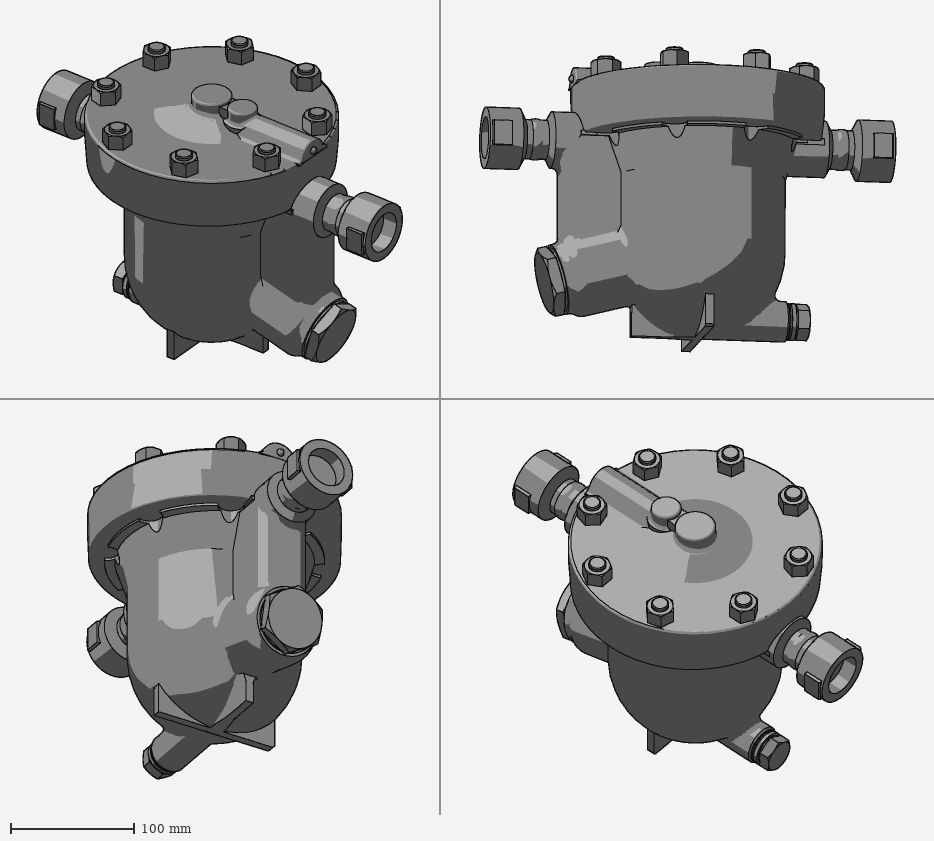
import cadquery as cq
import math

BODY_R = 71.0
DOME_CENTER_Z = 71.5
CONE_BOTTOM_Z = 130.5
CONE_TOP_R = 81.0

COVER_R = 103.0
COVER_TOP_Z = 207.0
COVER_JOINT_Z = 186.6
COVER_ROUND = 2.0
FLANGE_BOTTOM_Z = 162.7
FLANGE_BOTTOM_RX = 100.2
FLANGE_ROUND = 1.6
SEAT_R = 89.4
SEAT_BOTTOM_Z = 160.5

STRAIGHT_DOWN = 1.5 * math.pi
HEX_CORNER_ANGLE = 30.0
HEX_BEVEL_ANGLE = 30.0

BOLT_COUNT = 8
BOLT_CIRCLE_R = 88.5
BOLT_R = 7.0
BOLT_CHAMFER = 0.9
BOLT_TOP_Z = 223.2
NUT_FLATS = 21.0
NUT_TOP_Z = 220.0
NUT_TWIST = -7.5
BOLT_ANGLES = [360 / BOLT_COUNT * (i + 0.5) for i in range(BOLT_COUNT)]
SPOTFACE_R = 10.5
SPOTFACE_BOTTOM_Z = 145.0

HUB_CONE_R = 46.7
HUB_STEP_Z = 213.5
STUB_TOP_Z = 225.6
HUB_STUB_R = 16.5
HUB_FLARE_R = 21.0
VENT_X = 31.4
VENT_R = 12.2
VENT_FLARE_R = 15.7
VENT_FILLET = 2.5
STUB_ROUND = 1.6
BRIDGE_WIDTH = 17.0
BRIDGE_TOP_Z = 222.8

DUCT_R = 15.0
DUCT_AXIS_Z = 205.2
DUCT_FILLET = 5.0
DUCT_END_X = COVER_R
DUCT_END_ROUND = 1.5
PIP_R = 3.2
PIP_Z = 211.0

PIPE_Z = 160.0
INLET_X = -158.8
OUTLET_X = 175.2
PORT_LENGTH = 50.3
SOCKET_R = 25.0
SOCKET_LENGTH = 27.5
SOCKET_TAPER = 4.8
SOCKET_BORE_R = 16.9
SOCKET_BORE_DEPTH = 13.0
NECK_R = 16.0
BEAD_R = 16.9
BEAD_START = 37.0
BEAD_END = 45.2
PIPE_BOSS_R = 23.0
PIPE_BOSS_TAPER = 4.0
PIPE_BOSS_FILLET = 1.5
PAD_ACROSS = 52.0
PAD_HEIGHT = 20.0
PAD_START = 2.0
PAD_LENGTH = 16.0
PAD_CHAMFER = 1.2

SHELF_REACH = FLANGE_BOTTOM_RX
INLET_SHELF_BOTTOM_Z = 159.2
INLET_SHELF_WIDTH = 2 * PIPE_BOSS_R
OUTLET_SHELF_WIDTH = 50.0

RISER_END_X = 113.9
RISER_WIDTH = 2 * PIPE_BOSS_R
RISER_CORNER_R = 13.2
RISER_FOOT_Z = 55.0
RISER_FILLET = 6.0

PLUG_TILT = 15.0
PLUG_SEAT_X = 115.3
PLUG_SEAT_Z = 44.8
PLUG_BOSS_R = 33.8
PLUG_RIM_R = 29.0
PLUG_RIM_LENGTH = 6.0
PLUG_SHOULDER_LENGTH = 9.2
PLUG_ROOT = 70.0
PLUG_GROOVE_R = 26.5
PLUG_GROOVE_WIDTH = 2.0
PLUG_HEX_FLATS = 50.0
PLUG_HEX_LENGTH = 9.6
PLUG_FILLET = 8.0

DRAIN_R = 16.5
DRAIN_BOSS_END_X = -71.7
DRAIN_RIM_R = 15.0
DRAIN_RIM_END_X = -79.2
DRAIN_BEVEL = 1.5
DRAIN_SEAL_R = 14.6
DRAIN_SEAL_X = -74.2
DRAIN_SEAL_WIDTH = 1.4
DRAIN_GROOVE_R = 13.0
DRAIN_HEX_START_X = -80.8
DRAIN_HEX_END_X = -90.6
DRAIN_HEX_CORNERS = 30.0
DRAIN_FILLET = 5.0

JOINT_CLEARANCE = 0.1

FOOT_THICKNESS = 7.0
FOOT_REACH = 55.0
FOOT_TOP_Z = 35.0
FOOT_CHAMFER = 2.0
FOOT_FILLET = 7.5


def gather(shapes):
    """Hold several separate shapes so that they can be joined or cut in one step."""
    group = cq.Workplane("XY")
    for shape in shapes:
        group = group.add(shape)
    return group


def blend(shape, radius, low_corner, high_corner):
    """Fillet the edges whose centres lie in the box between two corners."""
    return shape.edges(cq.selectors.BoxSelector(low_corner, high_corner)).fillet(radius)


def revolve_z(outline):
    """Turn a closed (radius, height) outline about the Z axis."""
    return outline.close().revolve(360, (0, 0, 0), (0, 1, 0))


def across_corners(flats):
    return flats / math.cos(math.radians(HEX_CORNER_ANGLE))


def hex_head(corners, length):
    """Hexagon prism along +Z with its outer end corners turned off."""
    corner_r = corners / 2
    flat_r = corner_r * math.cos(math.radians(HEX_CORNER_ANGLE))
    drop = (corner_r - flat_r) * math.tan(math.radians(HEX_BEVEL_ANGLE))
    prism = cq.Workplane("XY").polygon(6, corners).extrude(length)
    turned = revolve_z(
        cq.Workplane("XZ")
        .moveTo(0, 0)
        .lineTo(corner_r, 0)
        .lineTo(corner_r, length - drop)
        .lineTo(flat_r, length)
        .lineTo(0, length)
    )
    return prism.intersect(turned)


def make_body():
    dome_bottom = DOME_CENTER_Z - BODY_R
    arc_offset = BODY_R * math.sqrt(0.5)
    return revolve_z(
        cq.Workplane("XZ")
        .moveTo(0, dome_bottom)
        .threePointArc((arc_offset, DOME_CENTER_Z - arc_offset), (BODY_R, DOME_CENTER_Z))
        .lineTo(BODY_R, CONE_BOTTOM_Z)
        .lineTo(CONE_TOP_R, SEAT_BOTTOM_Z)
        .lineTo(SEAT_R, SEAT_BOTTOM_Z)
        .lineTo(SEAT_R, COVER_JOINT_Z)
        .lineTo(0, COVER_JOINT_Z)
    )


def make_flange():
    flange = (
        cq.Workplane("XY", origin=(0, 0, COVER_JOINT_Z))
        .circle(COVER_R)
        .workplane(offset=FLANGE_BOTTOM_Z - COVER_JOINT_Z)
        .ellipse(FLANGE_BOTTOM_RX, COVER_R)
        .loft(ruled=True)
    )
    return flange.faces("<Z").edges().fillet(FLANGE_ROUND)


def make_cover():
    thickness = COVER_TOP_Z - COVER_JOINT_Z
    plate = cq.Workplane("XY", origin=(0, 0, COVER_JOINT_Z)).circle(COVER_R).extrude(thickness)
    return plate.faces(">Z").edges().fillet(COVER_ROUND)


def make_stub(radius, flare_r):
    """Upright stub with a flared foot and a rounded top edge, on the Z axis."""
    flare = flare_r - radius
    neck_z = HUB_STEP_Z + flare
    nick = 1 - math.sqrt(0.5)
    edge = STUB_ROUND * nick
    return revolve_z(
        cq.Workplane("XZ")
        .moveTo(0, COVER_JOINT_Z)
        .lineTo(flare_r, COVER_JOINT_Z)
        .lineTo(flare_r, HUB_STEP_Z)
        .threePointArc((radius + flare * nick, HUB_STEP_Z + flare * nick), (radius, neck_z))
        .lineTo(radius, STUB_TOP_Z - STUB_ROUND)
        .threePointArc((radius - edge, STUB_TOP_Z - edge), (radius - STUB_ROUND, STUB_TOP_Z))
        .lineTo(0, STUB_TOP_Z)
    )


def make_hub():
    """Low cone and the two stubs on the cover, joined by a short bridge."""
    cone = revolve_z(
        cq.Workplane("XZ")
        .moveTo(0, COVER_JOINT_Z)
        .lineTo(HUB_CONE_R, COVER_JOINT_Z)
        .lineTo(HUB_CONE_R, COVER_TOP_Z)
        .lineTo(HUB_FLARE_R, HUB_STEP_Z)
        .lineTo(0, HUB_STEP_Z)
    )
    bridge = (
        cq.Workplane("XY", origin=(0, 0, COVER_JOINT_Z))
        .rect(VENT_X, BRIDGE_WIDTH)
        .extrude(BRIDGE_TOP_Z - COVER_JOINT_Z)
        .translate((VENT_X / 2, 0, 0))
    )
    hub_stub = make_stub(HUB_STUB_R, HUB_FLARE_R)
    vent_stub = make_stub(VENT_R, VENT_FLARE_R).translate((VENT_X, 0, 0))
    return cone.union(bridge).union(hub_stub).union(vent_stub)


def make_duct():
    """Half-round duct along the cover with filleted sides and a small pip on its end."""
    base_z = COVER_TOP_Z - COVER_ROUND
    rise = COVER_TOP_Z - DUCT_AXIS_Z
    fillet_y = math.sqrt((DUCT_R + DUCT_FILLET) ** 2 - (rise + DUCT_FILLET) ** 2)
    share = DUCT_R / (DUCT_R + DUCT_FILLET)
    touch_y = fillet_y * share
    touch_z = DUCT_AXIS_Z + (rise + DUCT_FILLET) * share
    fillet_z = COVER_TOP_Z + DUCT_FILLET
    touch_angle = math.atan2(touch_z - fillet_z, touch_y - fillet_y) % (2 * math.pi)
    mid_angle = (touch_angle + STRAIGHT_DOWN) / 2
    mid_y = fillet_y + DUCT_FILLET * math.cos(mid_angle)
    mid_z = fillet_z + DUCT_FILLET * math.sin(mid_angle)
    duct = (
        cq.Workplane("YZ", origin=(VENT_X, 0, 0))
        .moveTo(-fillet_y, base_z)
        .lineTo(fillet_y, base_z)
        .lineTo(fillet_y, COVER_TOP_Z)
        .threePointArc((mid_y, mid_z), (touch_y, touch_z))
        .threePointArc((0, DUCT_AXIS_Z + DUCT_R), (-touch_y, touch_z))
        .threePointArc((-mid_y, mid_z), (-fillet_y, COVER_TOP_Z))
        .close()
        .extrude(DUCT_END_X - VENT_X)
    )
    crown_low = (DUCT_END_X - JOINT_CLEARANCE, -DUCT_R, touch_z)
    crown_high = (DUCT_END_X + JOINT_CLEARANCE, DUCT_R, DUCT_AXIS_Z + DUCT_R)
    duct = blend(duct, DUCT_END_ROUND, crown_low, crown_high)
    pip = cq.Workplane("XY").sphere(PIP_R).translate((DUCT_END_X, 0, PIP_Z))
    return duct.union(pip)


def make_bolt(angle):
    stud = (
        cq.Workplane("XY", origin=(0, 0, COVER_JOINT_Z))
        .circle(BOLT_R)
        .extrude(BOLT_TOP_Z - COVER_JOINT_Z)
        .faces(">Z")
        .chamfer(BOLT_CHAMFER)
    )
    nut = (
        hex_head(across_corners(NUT_FLATS), NUT_TOP_Z - COVER_TOP_Z)
        .rotate((0, 0, 0), (0, 0, 1), NUT_TWIST + HEX_CORNER_ANGLE)
        .translate((0, 0, COVER_TOP_Z))
    )
    bolt = stud.union(nut).translate((BOLT_CIRCLE_R, 0, 0))
    return bolt.rotate((0, 0, 0), (0, 0, 1), angle)


def make_spotface(angle):
    """Cutter that clears the bolt seats under the flange."""
    return (
        cq.Workplane("XY", origin=(BOLT_CIRCLE_R, 0, SPOTFACE_BOTTOM_Z))
        .circle(SPOTFACE_R)
        .extrude(FLANGE_BOTTOM_Z - SPOTFACE_BOTTOM_Z)
        .rotate((0, 0, 0), (0, 0, 1), angle)
    )


def make_pipe_boss(end_x):
    """Cast boss from the body axis to the pipe neck."""
    reach = abs(end_x) - PORT_LENGTH
    boss = (
        cq.Workplane("YZ", origin=(0, 0, PIPE_Z))
        .circle(PIPE_BOSS_R)
        .extrude(reach)
        .faces(">X")
        .chamfer(PIPE_BOSS_TAPER, PIPE_BOSS_R - NECK_R)
    )
    return boss if end_x > 0 else boss.mirror("YZ")


def make_socket(end_x):
    """Pipe neck with a weld bead, and a socket with two wrench pads."""
    end = abs(end_x)
    neck_start = end - PORT_LENGTH - 2 * PIPE_BOSS_TAPER
    turned = revolve_z(
        cq.Workplane("XZ")
        .moveTo(0, neck_start)
        .lineTo(NECK_R, neck_start)
        .lineTo(NECK_R, end - BEAD_END)
        .threePointArc((BEAD_R, end - (BEAD_START + BEAD_END) / 2), (NECK_R, end - BEAD_START))
        .lineTo(NECK_R, end - SOCKET_LENGTH - SOCKET_TAPER)
        .lineTo(SOCKET_R, end - SOCKET_LENGTH)
        .lineTo(SOCKET_R, end)
        .lineTo(0, end)
    )
    pads = (
        cq.Workplane("XY", origin=(0, 0, end - PAD_START - PAD_LENGTH))
        .rect(PAD_HEIGHT, PAD_ACROSS)
        .extrude(PAD_LENGTH)
        .edges("|X and >Z")
        .chamfer(PAD_CHAMFER)
    )
    bore = (
        cq.Workplane("XY", origin=(0, 0, end - SOCKET_BORE_DEPTH))
        .circle(SOCKET_BORE_R)
        .extrude(SOCKET_BORE_DEPTH)
    )
    socket = turned.union(pads).cut(bore)
    turn = 90 if end_x > 0 else -90
    return socket.rotate((0, 0, 0), (0, 1, 0), turn).translate((0, 0, PIPE_Z))


def make_shelf(side, bottom_z, width):
    """Flat shelf under the flange, reaching out over one pipe boss (side is +1 or -1)."""
    height = FLANGE_BOTTOM_Z + FLANGE_ROUND - bottom_z
    shelf = cq.Workplane("XY").box(SHELF_REACH, width, height, centered=(True, True, False))
    return shelf.translate((side * SHELF_REACH / 2, 0, bottom_z))


def make_riser():
    return (
        cq.Workplane("XY", origin=(RISER_END_X / 2, 0, RISER_FOOT_Z))
        .rect(RISER_END_X, RISER_WIDTH)
        .extrude(PIPE_Z - RISER_FOOT_Z)
        .edges("|Z and >X")
        .fillet(RISER_CORNER_R)
    )


def place_on_plug_axis(shape):
    tilted = shape.rotate((0, 0, 0), (0, 1, 0), 90 + PLUG_TILT)
    return tilted.translate((PLUG_SEAT_X, 0, PLUG_SEAT_Z))


def make_plug_boss():
    """Strainer boss; its shoulder is an arc tangent to the boss side."""
    drop = PLUG_BOSS_R - PLUG_RIM_R
    shoulder_start = -PLUG_RIM_LENGTH - PLUG_SHOULDER_LENGTH
    shoulder_r = (drop**2 + PLUG_SHOULDER_LENGTH**2) / (2 * drop)
    half_angle = math.asin(PLUG_SHOULDER_LENGTH / shoulder_r) / 2
    boss = revolve_z(
        cq.Workplane("XZ")
        .moveTo(0, -PLUG_ROOT)
        .lineTo(PLUG_BOSS_R, -PLUG_ROOT)
        .lineTo(PLUG_BOSS_R, shoulder_start)
        .threePointArc(
            (
                PLUG_BOSS_R - shoulder_r * (1 - math.cos(half_angle)),
                shoulder_start + shoulder_r * math.sin(half_angle),
            ),
            (PLUG_RIM_R, -PLUG_RIM_LENGTH),
        )
        .lineTo(PLUG_RIM_R, 0)
        .lineTo(0, 0)
    )
    return place_on_plug_axis(boss)


def make_plug():
    groove = cq.Workplane("XY").circle(PLUG_GROOVE_R).extrude(PLUG_GROOVE_WIDTH)
    head = hex_head(across_corners(PLUG_HEX_FLATS), PLUG_HEX_LENGTH)
    return place_on_plug_axis(groove.union(head.translate((0, 0, PLUG_GROOVE_WIDTH))))


def make_drain_boss():
    return (
        cq.Workplane("YZ", origin=(DRAIN_BOSS_END_X, 0, DRAIN_R))
        .circle(DRAIN_R)
        .extrude(-DRAIN_BOSS_END_X)
    )


def make_drain_plug():
    """Rim, groove and hexagon head, turned about the -X direction."""
    turned = revolve_z(
        cq.Workplane("XZ")
        .lineTo(DRAIN_R, -DRAIN_BOSS_END_X)
        .lineTo(DRAIN_RIM_R, -DRAIN_BOSS_END_X + DRAIN_BEVEL)
        .lineTo(DRAIN_RIM_R, -DRAIN_SEAL_X)
        .lineTo(DRAIN_SEAL_R, -DRAIN_SEAL_X)
        .lineTo(DRAIN_SEAL_R, -DRAIN_SEAL_X + DRAIN_SEAL_WIDTH)
        .lineTo(DRAIN_RIM_R, -DRAIN_SEAL_X + DRAIN_SEAL_WIDTH)
        .lineTo(DRAIN_RIM_R, -DRAIN_RIM_END_X)
        .lineTo(DRAIN_GROOVE_R, -DRAIN_RIM_END_X)
        .lineTo(DRAIN_GROOVE_R, -DRAIN_HEX_START_X)
        .lineTo(0, -DRAIN_HEX_START_X)
    )
    head = hex_head(DRAIN_HEX_CORNERS, DRAIN_HEX_START_X - DRAIN_HEX_END_X)
    plug = turned.union(head.translate((0, 0, -DRAIN_HEX_START_X)))
    return plug.rotate((0, 0, 0), (0, 1, 0), -90).translate((0, 0, DRAIN_R))


def make_long_foot():
    """Rib under the dome along Y."""
    return (
        cq.Workplane("XY")
        .box(FOOT_THICKNESS, 2 * FOOT_REACH, FOOT_TOP_Z, centered=(True, True, False))
        .edges("|X and <Z and >Y")
        .chamfer(FOOT_CHAMFER)
    )


def make_short_foot():
    """Rib under the dome along +X; hollow fillets blend both of its sides into the dome.

    Each fillet rolls around the dome, so it is turned about the Y axis through the dome centre.
    """
    half = FOOT_THICKNESS / 2
    center_y = half + FOOT_FILLET
    center_r = math.sqrt((BODY_R + FOOT_FILLET) ** 2 - center_y**2)
    share = BODY_R / (BODY_R + FOOT_FILLET)
    dome_touch = (center_r * share, center_y * share)
    mid_angle = (STRAIGHT_DOWN + math.atan2(center_y, center_r) + math.pi) / 2
    mid = (center_r + FOOT_FILLET * math.cos(mid_angle), center_y + FOOT_FILLET * math.sin(mid_angle))
    inner_r = BODY_R - FOOT_FILLET
    fillet = revolve_z(
        cq.Workplane("XY")
        .moveTo(inner_r, 0)
        .lineTo(center_r, 0)
        .lineTo(center_r, half)
        .threePointArc(mid, dome_touch)
        .lineTo(inner_r, dome_touch[1])
    ).translate((0, 0, DOME_CENTER_Z))
    rib = cq.Workplane("XY").box(FOOT_REACH, FOOT_THICKNESS, FOOT_TOP_Z, centered=(False, True, False))
    bounds = cq.Workplane("XY").box(FOOT_REACH, 2 * center_y, FOOT_TOP_Z, centered=(False, True, False))
    both = fillet.union(fillet.mirror("XZ"))
    return rib.union(both.intersect(bounds))


def blend_drain(shape):
    side = DRAIN_R + DRAIN_FILLET
    low = (-BODY_R, -side, 2 * (DOME_CENTER_Z - BODY_R))
    high = (-JOINT_CLEARANCE, side, DRAIN_R + side)
    return blend(shape, DRAIN_FILLET, low, high)


def blend_inlet(shape):
    low = (-CONE_TOP_R, -PIPE_BOSS_R, CONE_BOTTOM_Z)
    high = (PIPE_BOSS_R - CONE_TOP_R, PIPE_BOSS_R, PIPE_Z)
    return blend(shape, PIPE_BOSS_FILLET, low, high)


def blend_riser(shape):
    """Blend only the curved end of the riser, where it meets the pipe boss."""
    side = PIPE_BOSS_R - JOINT_CLEARANCE
    low = (RISER_END_X - RISER_CORNER_R + JOINT_CLEARANCE, -side, CONE_BOTTOM_Z)
    high = (OUTLET_X - PORT_LENGTH - PIPE_BOSS_TAPER, side, PIPE_Z - JOINT_CLEARANCE)
    return blend(shape, RISER_FILLET, low, high)


def blend_plug_boss(shape):
    side = PLUG_BOSS_R + PLUG_FILLET
    low = (PLUG_SEAT_X - PLUG_ROOT, -side, 0)
    high = (RISER_END_X, side, PLUG_SEAT_Z + PLUG_BOSS_R + PLUG_FILLET)
    return blend(shape, PLUG_FILLET, low, high)


def blend_vent(shape):
    """Blend the vent stub into the crown of the duct."""
    crown_z = DUCT_AXIS_Z + DUCT_R
    low = (VENT_X + VENT_R / 2, -VENT_R / 2, crown_z - VENT_FILLET)
    high = (VENT_X + VENT_R - JOINT_CLEARANCE, VENT_R / 2, crown_z)
    return blend(shape, VENT_FILLET, low, high)


def make_casting():
    """Body with its bosses, built up so that each joint is blended as soon as it exists."""
    casting = make_body().union(make_drain_boss())
    casting = blend_drain(casting)

    casting = casting.union(make_pipe_boss(INLET_X))
    casting = blend_inlet(casting)

    riser = make_riser().union(make_pipe_boss(OUTLET_X))
    riser = blend_riser(riser)
    casting = casting.union(riser).union(make_plug_boss())
    casting = blend_plug_boss(casting)

    casting = casting.union(make_flange())
    casting = casting.union(make_shelf(-1, INLET_SHELF_BOTTOM_Z, INLET_SHELF_WIDTH))
    casting = casting.union(make_shelf(1, SEAT_BOTTOM_Z, OUTLET_SHELF_WIDTH))
    casting = casting.cut(gather(make_spotface(angle) for angle in BOLT_ANGLES))
    return casting.union(make_long_foot()).union(make_short_foot())


def make_lid():
    """Cover with its hub, duct and bolts."""
    lid = make_cover().union(make_hub()).union(make_duct())
    lid = blend_vent(lid)
    return lid.union(gather(make_bolt(angle) for angle in BOLT_ANGLES))


fittings = gather([make_plug(), make_drain_plug(), make_socket(INLET_X), make_socket(OUTLET_X)])
result = make_casting().union(make_lid()).union(fittings)